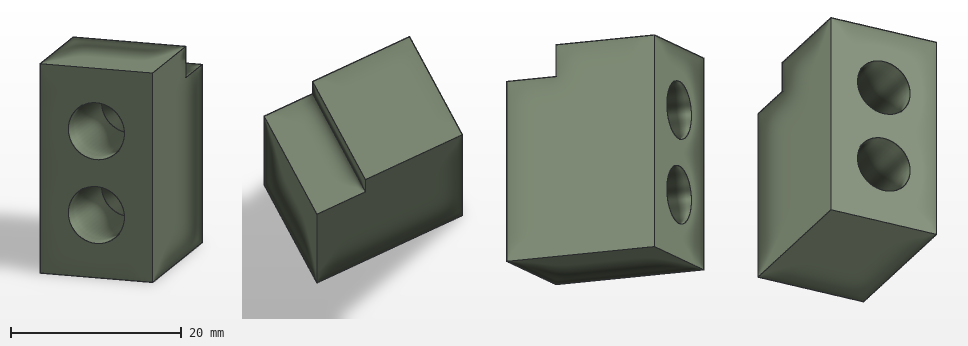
import cadquery as cq
import math

width = 13.85
depth = 19.05
height = 25.4

step_depth = depth / 3
step_drop = 3.81

hole_diameter = 6.9
hole_length = 12.7
drill_point_angle = 118.0
hole_spacing = 10.16
lower_hole_height = (height - hole_spacing) / 2
hole_heights = [lower_hole_height, lower_hole_height + hole_spacing]


def stepped_block():
    """Block with its front face on Y = 0 and a step along the top rear edge."""
    block = cq.Workplane("XY").box(width, depth, height, centered=(True, False, False))
    step = (
        cq.Workplane("XY")
        .box(width, step_depth, step_drop, centered=(True, False, False))
        .translate((0, depth - step_depth, height - step_drop))
    )
    return block.cut(step)


def drilled_hole(z):
    """Cutter for a hole running in +Y from the front face, ending in a drill point."""
    radius = hole_diameter / 2
    point_length = radius / math.tan(math.radians(drill_point_angle / 2))
    half_profile = (
        cq.Workplane("XY")
        .moveTo(0, 0)
        .lineTo(radius, 0)
        .lineTo(radius, hole_length)
        .lineTo(0, hole_length + point_length)
        .close()
    )
    return half_profile.revolve(360, (0, 0), (0, 1)).translate((0, 0, z))


result = stepped_block()
for hole_height in hole_heights:
    result = result.cut(drilled_hole(hole_height))